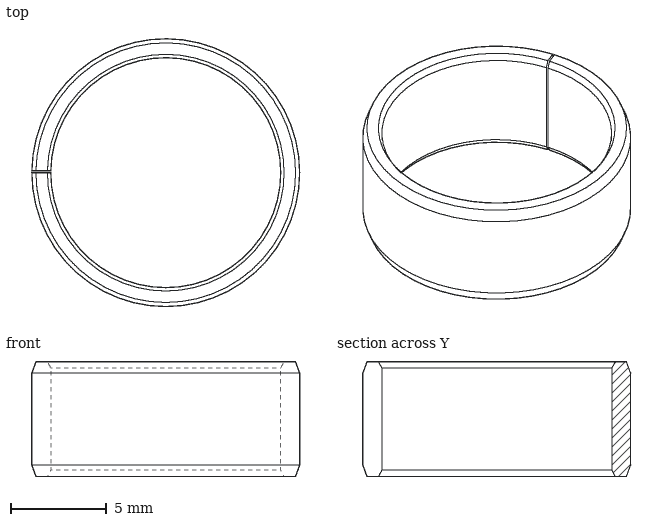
import cadquery as cq
import math

outer_diameter = 14.0
bore_diameter = 12.0
height = 6.0

lead_in_length = 0.6
lead_in_angle = 20.0
lead_in_depth = lead_in_length * math.tan(math.radians(lead_in_angle))

bore_chamfer_depth = 0.18
bore_chamfer_length = 0.34

slit_width = 0.1

outer_radius = outer_diameter / 2
bore_radius = bore_diameter / 2
half_height = height / 2


def make_ring():
    """Revolve the wall section, with its four bevelled corners, about Z."""
    face_outer_radius = outer_radius - lead_in_depth
    face_inner_radius = bore_radius + bore_chamfer_depth
    lead_in_z = half_height - lead_in_length
    chamfer_z = half_height - bore_chamfer_length
    section = [
        (face_inner_radius, -half_height),
        (face_outer_radius, -half_height),
        (outer_radius, -lead_in_z),
        (outer_radius, lead_in_z),
        (face_outer_radius, half_height),
        (face_inner_radius, half_height),
        (bore_radius, chamfer_z),
        (bore_radius, -chamfer_z),
    ]
    return cq.Workplane("XZ").polyline(section).close().revolve(360, (0, 0), (0, 1))


def make_slit():
    """Full-height cutter reaching from the axis past the -X side of the wall."""
    return (
        cq.Workplane("XY")
        .box(outer_diameter, slit_width, 2 * height)
        .translate((-outer_radius, slit_width / 2, 0))
    )


result = make_ring().cut(make_slit())